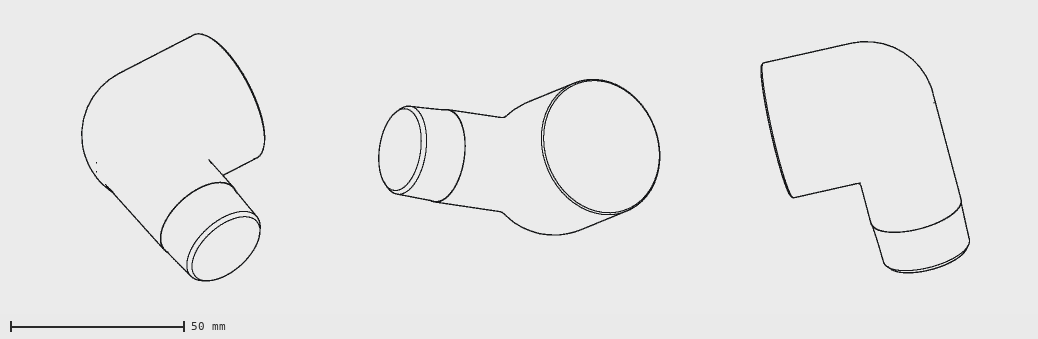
import cadquery as cq

total_length = 68.0
total_depth = 46.5
socket_diameter = 40.0
socket_chamfer = 0.5
spigot_diameter = 27.0
taper_start_diameter = 26.65
taper_end_diameter = 25.7
taper_length = 13.9
tip_chamfer_length = 1.2
tip_diameter = 23.8
blend_radius = 2.05
blend_start = 1.35
edge_clearance = 0.1

socket_radius = socket_diameter / 2
spigot_radius = spigot_diameter / 2
socket_length = total_depth - socket_radius
spigot_end = total_length - socket_radius
taper_start = spigot_end - taper_length
chamfer_start = spigot_end - tip_chamfer_length
spigot_y = spigot_radius - socket_radius


def make_socket():
    """Revolve the chamfered socket and its hemispherical end about Y."""
    diagonal = socket_radius / 2**0.5
    return (
        cq.Workplane("XY")
        .moveTo(0, -socket_radius)
        .threePointArc((diagonal, -diagonal), (socket_radius, 0))
        .lineTo(socket_radius, socket_length - socket_chamfer)
        .lineTo(socket_radius - socket_chamfer, socket_length)
        .lineTo(0, socket_length)
        .close()
        .revolve(360, (0, 0, 0), (0, 1, 0))
    )


def make_spigot():
    """Revolve the spigot with its tapered, chamfered tip about its own axis."""
    return (
        cq.Workplane("XY", origin=(0, spigot_y, 0))
        .lineTo(0, spigot_radius)
        .lineTo(taper_start, spigot_radius)
        .lineTo(taper_start, taper_start_diameter / 2)
        .lineTo(chamfer_start, taper_end_diameter / 2)
        .lineTo(spigot_end, tip_diameter / 2)
        .lineTo(spigot_end, 0)
        .close()
        .revolve(360, (0, 0, 0), (1, 0, 0))
    )


body = make_socket().union(make_spigot())

beyond_tangent_point = (
    cq.Workplane("XY")
    .box(total_length, 2 * total_depth, 2 * socket_diameter, centered=(False, True, True))
    .translate((blend_start, 0, 0))
)
creased_part = body.intersect(beyond_tangent_point)
crease_zone = cq.selectors.BoxSelector(
    (blend_start + edge_clearance, -socket_radius, -spigot_radius),
    (socket_radius, socket_length / 2, spigot_radius),
)
blended_part = creased_part.edges(crease_zone).edges("%BSPLINE").fillet(blend_radius)

result = body.union(blended_part)